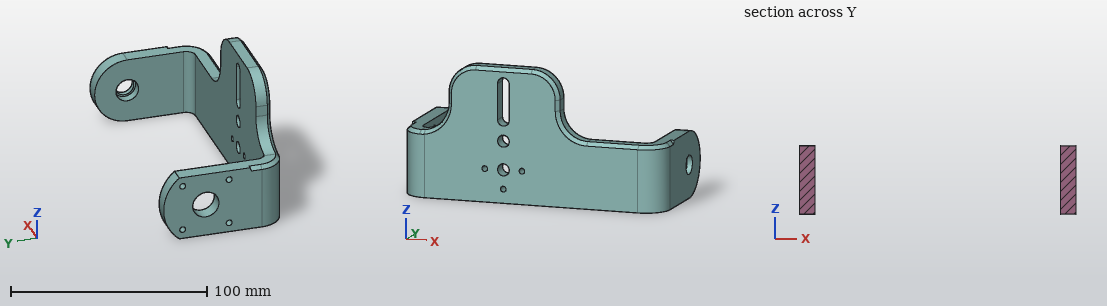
import cadquery as cq
import math

length = 141
total_height = 70.5
leg_height = 35.0
thickness = 8.0
inner_bend_radius = 5.0
outer_bend_radius = inner_bend_radius + thickness
mid_height = leg_height / 2

tab_center_x = 55.5
tab_width = 59.9
tab_radius = 15.0
tab_left = tab_center_x - tab_width / 2
tab_right = tab_center_x + tab_width / 2

chamfer = 2.0
chamfer_end_y = 19.2
chamfer_end_slant = 0.7

wall_hole_diameter = 6.2
upper_hole_rise = 15.0
pin_hole_diameter = 3.0
pin_circle_radius = 10.0
slot_bottom = 40.3
slot_top = 65.4

bore_y = 42.9
left_end_radius = 22.5
right_end_radius = mid_height
left_bore_diameter = 14.0
right_counterbore_diameter = 12.0
right_bore_diameter = 10.0
right_lip = 3.0
screw_hole_diameter = 3.1
screw_spacing = 24.8


def make_bent_wall():
    """Chamfered front wall with its two bends and the roots of both legs."""
    channel = (
        cq.Workplane("XY")
        .rect(length, 2 * chamfer_end_y)
        .extrude(total_height)
        .edges("|Z")
        .fillet(outer_bend_radius)
        .translate((length / 2, chamfer_end_y, 0))
    )
    inside = (
        cq.Workplane("XY")
        .rect(length - 2 * thickness, 2 * (chamfer_end_y - thickness))
        .extrude(total_height)
        .edges("|Z")
        .fillet(inner_bend_radius)
        .translate((length / 2, chamfer_end_y, 0))
    )
    front_half = cq.Workplane("XY").box(length, chamfer_end_y, total_height, centered=False)
    channel = channel.cut(inside).intersect(front_half)

    r = tab_radius
    lower_tangent = leg_height + r
    upper_tangent = total_height - r
    diagonal = r * math.sqrt(0.5)
    outline = (
        cq.Workplane("XZ")
        .moveTo(0, 0)
        .lineTo(length, 0)
        .lineTo(length, leg_height)
        .lineTo(tab_right + r, leg_height)
        .threePointArc((tab_right + r - diagonal, lower_tangent - diagonal), (tab_right, lower_tangent))
        .lineTo(tab_right, upper_tangent)
        .threePointArc((tab_right - r + diagonal, upper_tangent + diagonal), (tab_right - r, total_height))
        .lineTo(tab_left + r, total_height)
        .threePointArc((tab_left + r - diagonal, upper_tangent + diagonal), (tab_left, upper_tangent))
        .lineTo(tab_left, lower_tangent)
        .threePointArc((tab_left - r + diagonal, lower_tangent - diagonal), (tab_left - r, leg_height))
        .lineTo(0, leg_height)
        .close()
        .extrude(-chamfer_end_y)
    )
    wall = channel.intersect(outline)
    return wall.faces(">Z").edges("<Y").chamfer(chamfer)


def make_leg(x, end_radius):
    """Leg with a rounded end centred on its bore; its root closes the chamfer at a slant."""
    arc_start_y = bore_y + math.sqrt(end_radius**2 - mid_height**2)
    root_y = chamfer_end_y - chamfer_end_slant
    return (
        cq.Workplane("YZ", origin=(x, 0, 0))
        .moveTo(root_y, 0)
        .lineTo(arc_start_y, 0)
        .threePointArc((bore_y + end_radius, mid_height), (arc_start_y, leg_height))
        .lineTo(chamfer_end_y, leg_height)
        .lineTo(root_y, leg_height - chamfer)
        .close()
        .extrude(thickness)
    )


def leg_cylinder(x, y, z, diameter, depth):
    return cq.Workplane("YZ", origin=(x, y, z)).circle(diameter / 2).extrude(depth)


def cut_wall_holes(body):
    def drill(target, points, diameter):
        holes = cq.Workplane("XZ").pushPoints(points).circle(diameter / 2).extrude(-thickness)
        return target.cut(holes)

    heights = (mid_height, mid_height + upper_hole_rise)
    body = drill(body, [(tab_center_x, z) for z in heights], wall_hole_diameter)
    pins = [
        (tab_center_x - pin_circle_radius, mid_height),
        (tab_center_x + pin_circle_radius, mid_height),
        (tab_center_x, mid_height - pin_circle_radius),
    ]
    body = drill(body, pins, pin_hole_diameter)
    slot = (
        cq.Workplane("XZ")
        .center(tab_center_x, (slot_bottom + slot_top) / 2)
        .slot2D(slot_top - slot_bottom, wall_hole_diameter, 90)
        .extrude(-thickness)
    )
    return body.cut(slot)


def cut_leg_holes(body):
    right_inner_x = length - thickness
    body = body.cut(leg_cylinder(0, bore_y, mid_height, left_bore_diameter, thickness))
    body = body.cut(leg_cylinder(right_inner_x, bore_y, mid_height, right_bore_diameter, thickness))
    counterbore_depth = thickness - right_lip
    body = body.cut(
        leg_cylinder(right_inner_x, bore_y, mid_height, right_counterbore_diameter, counterbore_depth)
    )
    half = screw_spacing / 2
    for dy in (-half, half):
        for dz in (-half, half):
            body = body.cut(leg_cylinder(0, bore_y + dy, mid_height + dz, screw_hole_diameter, thickness))
    return body


left_leg = make_leg(0, left_end_radius)
right_leg = make_leg(length - thickness, right_end_radius)
bracket = make_bent_wall().union(left_leg).union(right_leg)
result = cut_leg_holes(cut_wall_holes(bracket))